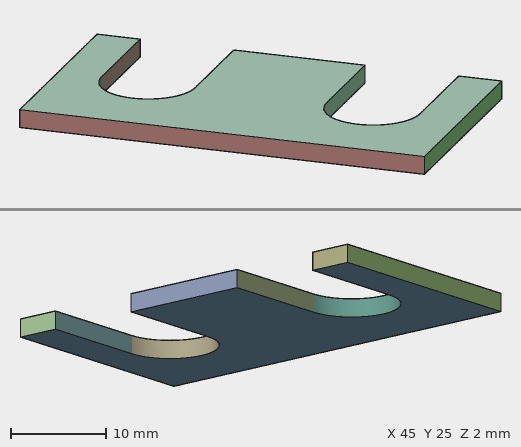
import cadquery as cq

length = 45.0
width = 25.0
thickness = 2.0

slot_width = 10.4
slot_spacing = 25.0
slot_end_center_y = 0.0


def make_plate():
    return cq.Workplane("XY").box(length, width, thickness)


def make_slot(center_x):
    """Cutter for one slot: straight sides from the +Y edge, half-round bottom."""
    radius = slot_width / 2
    left = center_x - radius
    right = center_x + radius
    open_edge_y = width / 2
    return (
        cq.Workplane("XY")
        .workplane(offset=-thickness / 2)
        .moveTo(left, open_edge_y)
        .lineTo(left, slot_end_center_y)
        .threePointArc((center_x, slot_end_center_y - radius), (right, slot_end_center_y))
        .lineTo(right, open_edge_y)
        .close()
        .extrude(thickness)
    )


result = make_plate()
for side in (-1, 1):
    result = result.cut(make_slot(side * slot_spacing / 2))